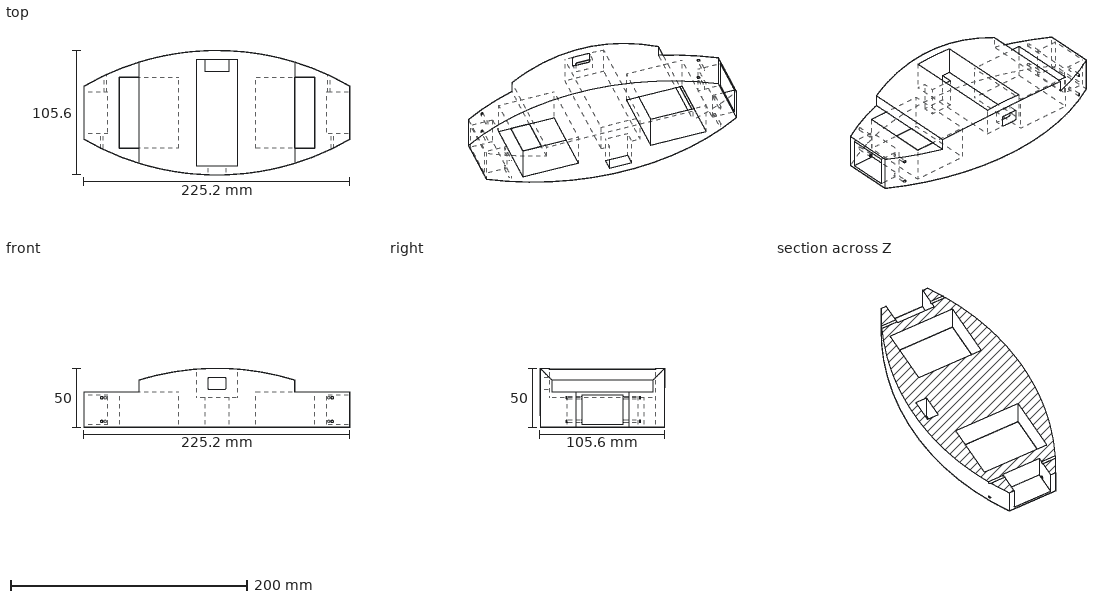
import cadquery as cq

LENGTH = 225.16
WIDTH = 105.62
END_WIDTH = 45.0
DECK_HEIGHT = 30.0

CROWN_LENGTH = 132.0
CROWN_EDGE_HEIGHT = 40.0
CROWN_TOP_HEIGHT = 50.0

POCKET_LENGTH = 35.0
POCKET_WIDTH = 90.0
POCKET_FLOOR = 25.0
DROP_HOLE_LENGTH = 20.0
DROP_HOLE_WIDTH = 10.0
WINDOW_LENGTH = 15.2
WINDOW_HEIGHT = 10.0
WINDOW_CENTER_HEIGHT = 37.1
WINDOW_CORNER_RADIUS = 1.0

WELL_END_DISTANCE = 30.0
WELL_LENGTH = 50.0
WELL_WIDTH = 60.0
TUNNEL_DEPTH = 20.0
TUNNEL_WIDTH = 35.0
TUNNEL_HEIGHT = 25.0
TUNNEL_FLOOR = (DECK_HEIGHT - TUNNEL_HEIGHT) / 2

PIN_DIAMETER = 2.0
FRONT_PIN_END_DISTANCE = 15.0
BACK_PIN_END_DISTANCE = 18.0
PIN_HEIGHTS = (5.0, 25.0)


def box(x_min, x_max, width, z_min, z_max):
    """Block centred on Y = 0 between the given X and Z limits."""
    return (
        cq.Workplane("XY")
        .box(x_max - x_min, width, z_max - z_min, centered=(False, True, False))
        .translate((x_min, 0, z_min))
    )


def hull():
    """Boat-shaped plan with two bowed sides, trimmed to the side profile."""
    half_length = LENGTH / 2
    half_width = WIDTH / 2
    half_end = END_WIDTH / 2
    plan = (
        cq.Workplane("XY")
        .moveTo(-half_length, -half_end)
        .threePointArc((0, -half_width), (half_length, -half_end))
        .lineTo(half_length, half_end)
        .threePointArc((0, half_width), (-half_length, half_end))
        .close()
        .extrude(CROWN_TOP_HEIGHT)
    )
    half_crown = CROWN_LENGTH / 2
    profile = (
        cq.Workplane("XZ")
        .moveTo(-half_length, 0)
        .lineTo(half_length, 0)
        .lineTo(half_length, DECK_HEIGHT)
        .lineTo(half_crown, DECK_HEIGHT)
        .lineTo(half_crown, CROWN_EDGE_HEIGHT)
        .threePointArc((0, CROWN_TOP_HEIGHT), (-half_crown, CROWN_EDGE_HEIGHT))
        .lineTo(-half_crown, DECK_HEIGHT)
        .lineTo(-half_length, DECK_HEIGHT)
        .close()
        .extrude(WIDTH / 2, both=True)
    )
    return plan.intersect(profile)


def pocket():
    """Open-topped pocket plus the drop hole along its +Y wall."""
    half_pocket = POCKET_LENGTH / 2
    half_hole = DROP_HOLE_LENGTH / 2
    recess = box(-half_pocket, half_pocket, POCKET_WIDTH, POCKET_FLOOR, CROWN_TOP_HEIGHT)
    hole_y = (POCKET_WIDTH - DROP_HOLE_WIDTH) / 2
    hole = box(-half_hole, half_hole, DROP_HOLE_WIDTH, 0, POCKET_FLOOR).translate((0, hole_y, 0))
    return recess.union(hole)


def window():
    """Rounded window from the -Y side into the pocket."""
    return (
        cq.Workplane("XZ")
        .center(0, WINDOW_CENTER_HEIGHT)
        .rect(WINDOW_LENGTH, WINDOW_HEIGHT)
        .extrude(WIDTH / 2)
        .edges("|Y")
        .fillet(WINDOW_CORNER_RADIUS)
    )


def pin_holes(x, reach):
    """Stacked pin holes from the middle plane; a positive reach runs toward -Y."""
    return (
        cq.Workplane("XZ")
        .pushPoints([(x, height) for height in PIN_HEIGHTS])
        .circle(PIN_DIAMETER / 2)
        .extrude(reach)
    )


def end_cutter():
    """Well, tunnel and pin holes of the +X end."""
    end_x = LENGTH / 2
    well_x = end_x - WELL_END_DISTANCE
    well = box(well_x - WELL_LENGTH, well_x, WELL_WIDTH, 0, DECK_HEIGHT)
    tunnel_top = TUNNEL_FLOOR + TUNNEL_HEIGHT
    tunnel = box(end_x - TUNNEL_DEPTH, end_x, TUNNEL_WIDTH, TUNNEL_FLOOR, tunnel_top)
    front_pins = pin_holes(end_x - FRONT_PIN_END_DISTANCE, WIDTH / 2)
    back_pins = pin_holes(end_x - BACK_PIN_END_DISTANCE, -WIDTH / 2)
    return well.union(tunnel).union(front_pins).union(back_pins)


right_end = end_cutter()
left_end = right_end.mirror("YZ")
result = hull().cut(pocket()).cut(window()).cut(right_end).cut(left_end)